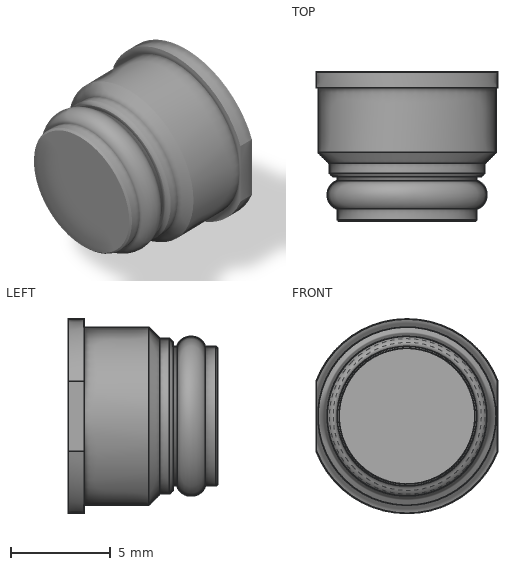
import cadquery as cq
import math

flange_diameter = 9.75
flange_width = 9.1
flange_thickness = 0.8

total_length = 7.5
body_diameter = 8.93
body_taper_start = 3.47
collar_diameter = 7.8
collar_front = 2.24
collar_chamfer = 0.19
neck_diameter = 7.0
neck_chamfer = 0.1

ring_outer_diameter = 8.0
ring_section_radius = 0.75
ring_center = 1.34

body_radius = body_diameter / 2
collar_radius = collar_diameter / 2
neck_radius = neck_diameter / 2
taper_length = body_radius - collar_radius

ring_outer_radius = ring_outer_diameter / 2
ring_sunk_depth = neck_radius - (ring_outer_radius - ring_section_radius)
ring_half_width = math.sqrt(ring_section_radius**2 - ring_sunk_depth**2)


def make_flange():
    """Round disc trimmed by flats on both X sides."""
    disc = cq.Workplane("XY").circle(flange_diameter / 2).extrude(flange_thickness)
    trim = cq.Workplane("XY").rect(flange_width, flange_diameter).extrude(flange_thickness)
    return disc.intersect(trim).translate((0, 0, total_length - flange_thickness))


def make_body():
    """Revolved neck with its ring, collar, taper and cylinder; local Z runs from the front face."""
    return (
        cq.Workplane("XZ")
        .moveTo(0, 0)
        .lineTo(neck_radius - neck_chamfer, 0)
        .lineTo(neck_radius, neck_chamfer)
        .lineTo(neck_radius, ring_center - ring_half_width)
        .threePointArc(
            (ring_outer_radius, ring_center),
            (neck_radius, ring_center + ring_half_width),
        )
        .lineTo(neck_radius, collar_front)
        .lineTo(collar_radius - collar_chamfer, collar_front)
        .lineTo(collar_radius, collar_front + collar_chamfer)
        .lineTo(collar_radius, body_taper_start - taper_length)
        .lineTo(body_radius, body_taper_start)
        .lineTo(body_radius, total_length)
        .lineTo(0, total_length)
        .close()
        .revolve(360, (0, 0, 0), (0, 1, 0))
    )


result = (
    make_body()
    .union(make_flange())
    .rotate((0, 0, 0), (1, 0, 0), -90)
    .translate((0, -total_length / 2, 0))
)